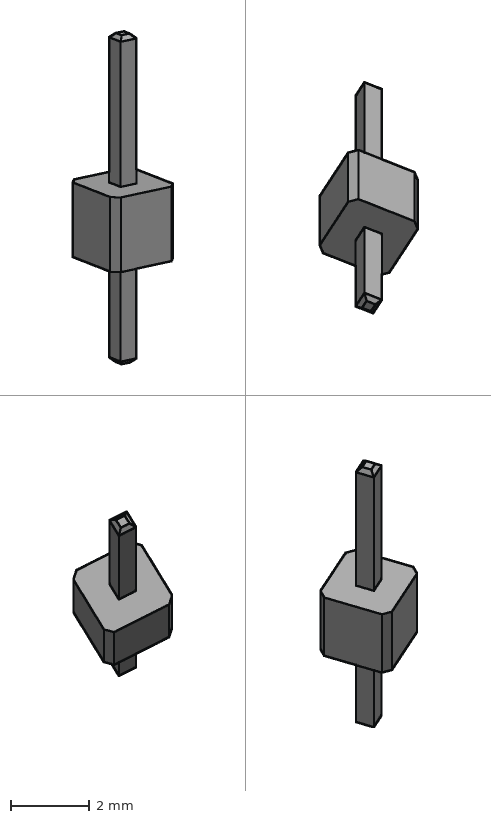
import cadquery as cq

total_length = 8.8
body_size = 2.0
body_corner_chamfer = 0.19
tail_length = 2.8
pin_width = 0.5
tip_chamfer = 0.12


def make_pin():
    """Square pin with tapered tips, its lower end at Z = 0."""
    pin = cq.Workplane("XY").rect(pin_width, pin_width).extrude(total_length)
    return pin.faces("<Z or >Z").chamfer(tip_chamfer)


def make_body():
    """Insulator block with chamfered vertical edges."""
    block = (
        cq.Workplane("XY")
        .workplane(offset=tail_length)
        .rect(body_size, body_size)
        .extrude(body_size)
    )
    return block.edges("|Z").chamfer(body_corner_chamfer)


result = make_body().union(make_pin())